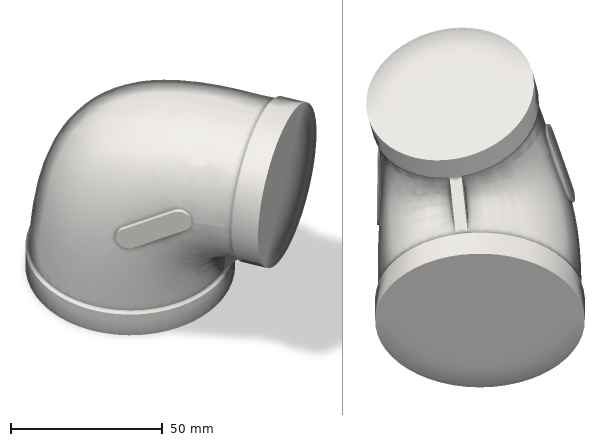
import cadquery as cq

LARGE_DIAMETER = 69.0
SMALL_DIAMETER = 56.1
OVERALL_LENGTH = 89.5
OVERALL_HEIGHT = 80.0
COLLAR_LENGTH = 10.0
COLLAR_CHAMFER = 1.0

LARGE_RADIUS = LARGE_DIAMETER / 2
SMALL_RADIUS = SMALL_DIAMETER / 2
OUTLET_X = OVERALL_LENGTH - LARGE_RADIUS
OUTLET_Z = OVERALL_HEIGHT - SMALL_RADIUS

LARGE_NECK_RADIUS = LARGE_RADIUS - COLLAR_CHAMFER
SMALL_NECK_RADIUS = SMALL_RADIUS - COLLAR_CHAMFER
NECK_Z = COLLAR_LENGTH
NECK_X = OUTLET_X - COLLAR_LENGTH

OUTER_LOW = (-LARGE_NECK_RADIUS, NECK_Z)
OUTER_HIGH = (NECK_X, OUTLET_Z + SMALL_NECK_RADIUS)
INNER_LOW = (LARGE_NECK_RADIUS, NECK_Z)
INNER_HIGH = (NECK_X, OUTLET_Z - SMALL_NECK_RADIUS)

OUTER_RISE = 40.3
OUTER_LEAN = 3.0
OUTER_RUN = 68.9
OUTER_CROWN = 1.6
INNER_RISE = 10.7
INNER_LEAN = 0.5
INNER_RUN = 9.2
SECTION_COUNT = 9
NARROWING_DELAY = 1.5

WEB_THICKNESS = 4.0

PAD_LENGTH = 28.0
PAD_WIDTH = 8.05
PAD_X = 19.4
PAD_Z = 46.9
PAD_ANGLE = 30.0
PAD_FACE_Y = 30.7
PAD_TAPER = 10.0
PAD_LEAN = 2.0
PAD_DEPTH = 7.2


def collar(radius):
    """Collar standing on the XY plane, chamfered at its inner end."""
    blank = cq.Workplane("XY").circle(radius).extrude(COLLAR_LENGTH)
    return blank.faces(">Z").chamfer(COLLAR_CHAMFER)


def side_point(start, start_pull, end_pull, end, t):
    """Point at t on the cubic curve from start to end; the pulls offset its inner control points."""
    pulled_start = (start[0] + start_pull[0], start[1] + start_pull[1])
    pulled_end = (end[0] + end_pull[0], end[1] + end_pull[1])
    controls = (start, pulled_start, pulled_end, end)
    weights = ((1 - t) ** 3, 3 * t * (1 - t) ** 2, 3 * t ** 2 * (1 - t), t ** 3)
    x = sum(weight * point[0] for weight, point in zip(weights, controls))
    z = sum(weight * point[1] for weight, point in zip(weights, controls))
    return x, z


def body_section(t):
    """Elliptical section spanning the outer and inner side curves at t."""
    outer = side_point(OUTER_LOW, (OUTER_LEAN, OUTER_RISE), (-OUTER_RUN, OUTER_CROWN), OUTER_HIGH, t)
    inner = side_point(INNER_LOW, (INNER_LEAN, INNER_RISE), (-INNER_RUN, 0), INNER_HIGH, t)
    across = cq.Vector(outer[0] - inner[0], 0, outer[1] - inner[1])
    center = cq.Vector((inner[0] + outer[0]) / 2, 0, (inner[1] + outer[1]) / 2)
    delayed = t ** NARROWING_DELAY
    ease = delayed ** 2 * (3 - 2 * delayed)
    half_width = LARGE_NECK_RADIUS + (SMALL_NECK_RADIUS - LARGE_NECK_RADIUS) * ease
    normal = cq.Vector(0, 1, 0).cross(across)
    plane = cq.Plane(center, across, normal)
    return cq.Workplane(plane).ellipse(across.Length / 2, half_width).wires().val()


def curved_body():
    """Smooth loft through sections turning from the large neck to the small one."""
    sections = [body_section(i / (SECTION_COUNT - 1)) for i in range(SECTION_COUNT)]
    return cq.Workplane(cq.Solid.makeLoft(sections))


def corner_web():
    """Flat web bridging the inside of the bend, rooted in the body."""
    return (
        cq.Workplane("XZ")
        .polyline([INNER_LOW, INNER_HIGH, (0, OUTLET_Z), (0, NECK_Z)])
        .close()
        .extrude(WEB_THICKNESS / 2, both=True)
    )


def label_pad():
    """Pad on the -Y side, its face turned to follow the narrowing body."""
    return (
        cq.Workplane("XZ")
        .slot2D(PAD_LENGTH, PAD_WIDTH, PAD_ANGLE)
        .extrude(-PAD_DEPTH)
        .rotate((0, 0, 0), (1, 0, 0), -PAD_LEAN)
        .rotate((0, 0, 0), (0, 0, 1), PAD_TAPER)
        .translate((PAD_X, -PAD_FACE_Y, PAD_Z))
    )


large_collar = collar(LARGE_RADIUS)
small_collar = collar(SMALL_RADIUS).rotate((0, 0, 0), (0, 1, 0), -90).translate((OUTLET_X, 0, OUTLET_Z))
pad = label_pad()

result = (
    curved_body()
    .union(pad)
    .union(pad.mirror("XZ"))
    .union(corner_web())
    .union(large_collar)
    .union(small_collar)
)